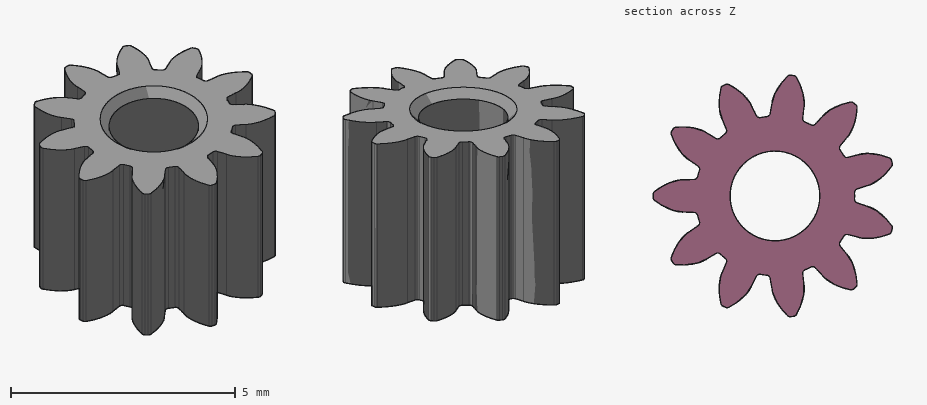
import cadquery as cq
import math

TOOTH_COUNT = 11
MODULE = 0.4
PRESSURE_ANGLE = math.radians(20)
TIP_RADIUS = 2.72
ROOT_RADIUS = 1.78
TIP_ROUNDING = 0.08
ROOT_FILLET = 0.08
BASE_HALF_ANGLE = math.radians(10.1)
FOOT_HALF_WIDTH = 0.37
FACE_WIDTH = 4.0
BORE_RADIUS = 1.0
BORE_CHAMFER = 0.2
FLANK_SAMPLES = 6
RADIUS_TOLERANCE = 0.0005

PITCH_ANGLE = 2 * math.pi / TOOTH_COUNT
BASE_RADIUS = MODULE * TOOTH_COUNT / 2 * math.cos(PRESSURE_ANGLE)
FOOT_HALF_ANGLE = math.asin(FOOT_HALF_WIDTH / ROOT_RADIUS)
TIP_ROLL = math.sqrt((TIP_RADIUS / BASE_RADIUS) ** 2 - 1)


def polar(radius, angle):
    """Point at a distance and direction from the gear axis."""
    return (radius * math.cos(angle), radius * math.sin(angle))


def involute(roll):
    """Radius and half tooth angle of the flank at a roll angle from the base circle."""
    radius = BASE_RADIUS * math.sqrt(1 + roll ** 2)
    return radius, BASE_HALF_ANGLE - (roll - math.atan(roll))


def flank_points(axis_angle, side):
    """Involute flank from base to tip; side is -1 or +1 about the tooth axis."""
    points = []
    for i in range(FLANK_SAMPLES + 1):
        radius, half_angle = involute(TIP_ROLL * i / FLANK_SAMPLES)
        points.append(polar(radius, axis_angle + side * half_angle))
    return points


def gear_outline():
    """Closed tooth profile, going round tooth by tooth, with sharp tips and roots."""
    first_axis = math.pi
    outline = cq.Workplane("XY").moveTo(*polar(ROOT_RADIUS, first_axis - FOOT_HALF_ANGLE))
    for tooth in range(TOOTH_COUNT):
        axis = first_axis + tooth * PITCH_ANGLE
        rising = flank_points(axis, -1)
        falling = flank_points(axis, 1)[::-1]
        outline = outline.lineTo(*rising[0]).spline(rising[1:], includeCurrent=True)
        outline = outline.threePointArc(polar(TIP_RADIUS, axis), falling[0])
        outline = outline.spline(falling[1:], includeCurrent=True)
        outline = outline.lineTo(*polar(ROOT_RADIUS, axis + FOOT_HALF_ANGLE))
        gap_middle = polar(ROOT_RADIUS, axis + PITCH_ANGLE / 2)
        next_foot = polar(ROOT_RADIUS, axis + PITCH_ANGLE - FOOT_HALF_ANGLE)
        outline = outline.threePointArc(gap_middle, next_foot)
    return outline.close()


def edges_at_radius(body, radius):
    """Upright edges of the body lying on the cylinder of the given radius."""
    return body.edges("|Z").filter(
        lambda edge: abs(math.hypot(edge.Center().x, edge.Center().y) - radius) < RADIUS_TOLERANCE
    )


def bore_cutter():
    """Through bore with a 45 degree chamfer at both ends, as one revolved shape."""
    mouth_radius = BORE_RADIUS + BORE_CHAMFER
    return (
        cq.Workplane("XZ")
        .lineTo(mouth_radius, 0)
        .lineTo(BORE_RADIUS, BORE_CHAMFER)
        .lineTo(BORE_RADIUS, FACE_WIDTH - BORE_CHAMFER)
        .lineTo(mouth_radius, FACE_WIDTH)
        .lineTo(0, FACE_WIDTH)
        .close()
        .revolve(360, (0, 0, 0), (0, 1, 0))
    )


gear = gear_outline().extrude(FACE_WIDTH)

gear = edges_at_radius(gear, TIP_RADIUS).fillet(TIP_ROUNDING)
gear = edges_at_radius(gear, ROOT_RADIUS).fillet(ROOT_FILLET)

result = gear.cut(bore_cutter())